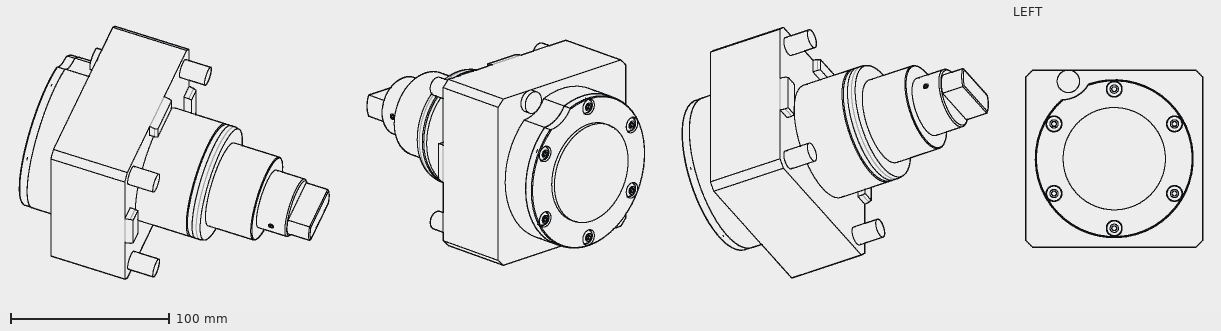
import cadquery as cq
import math

cover_face_x = 2.5
cover_joint_x = 8.0
pin_face_x = 22.6
block_front_x = 26.5
block_back_x = 76.7
pad_end_x = 81.9
bolt_end_x = 93.7
pilot_end_x = 120.2
body_end_x = 151.5
neck_end_x = 171.7
tang_end_x = 187.0

block_side = 112.0
block_chamfer = 4.5

cap_radius = 32.4
housing_ring_radius = 50.0
cover_step = 0.2
cover_chamfer = 0.5
scallop_radius = 20.0
scallop_y = 33.5
scallop_z = 57.2
pin_radius = 7.1
pin_y = 29.0
pin_z = block_side / 2 - pin_radius

screw_count = 6
screw_circle_radius = 44.0
screw_recess_radius = 5.0
screw_recess_depth = 2.8
screw_head_radius = 4.7
screw_top_radius = 2.6
screw_hex_across_flats = 3.0
screw_hex_depth = 1.5
screw_drill_point_depth = 1.0

bolt_radius = 6.0
bolt_offset = 45.0
pad_width = 25.2
pad_slope_drop = 1.1
pad_height = 9.4
pad_bevel_length = 1.9
pad_bevel_inset = 0.5

pilot_radius = 37.4
pilot_bevel_length = 2.5
pilot_bevel_inset = 0.5
body_radius = 27.5
body_chamfer = 0.5
neck_radius = 19.0
neck_chamfer = 1.0
tang_radius = 17.4
tang_thickness = 14.4
tang_chamfer = 0.7

groove_start_x = 111.0
groove_width = 4.0
groove_depth = 3.2
seal_section_radius = 1.7

cross_pin_x = 161.4
cross_pin_radius = 1.78
cross_pin_hole_radius = 0.85
cross_pin_hole_depth = 1.5


def x_cylinder(start_x, end_x, radius, y=0, z=0):
    """Cylinder along X centred on the given Y and Z."""
    axis = cq.Workplane("YZ", origin=(start_x, y, z))
    return axis.circle(radius).extrude(end_x - start_x)


def make_block():
    block = cq.Workplane("YZ", origin=(block_front_x, 0, 0)).rect(block_side, block_side)
    return block.extrude(block_back_x - block_front_x).edges("|X").chamfer(block_chamfer)


def make_button_head():
    """Domed screw head with a hexagon socket, centred on X with its top on the cover face."""
    base_x = cover_face_x + screw_recess_depth
    mid_angle = math.radians(45)
    dome_width = screw_head_radius - screw_top_radius
    dome_middle = (
        base_x - screw_recess_depth * math.sin(mid_angle),
        screw_top_radius + dome_width * math.cos(mid_angle),
    )
    head = (
        cq.Workplane("XY")
        .moveTo(base_x, 0)
        .lineTo(base_x, screw_head_radius)
        .threePointArc(dome_middle, (cover_face_x, screw_top_radius))
        .lineTo(cover_face_x, 0)
        .close()
        .revolve(360, (0, 0, 0), (1, 0, 0))
    )
    corner_diameter = screw_hex_across_flats / math.cos(math.pi / 6)
    socket = cq.Workplane("YZ", origin=(cover_face_x, 0, 0)).polygon(6, corner_diameter)
    socket_floor = cq.Vector(cover_face_x + screw_hex_depth, 0, 0)
    drill_point = cq.Solid.makeCone(
        screw_hex_across_flats / 2, 0, screw_drill_point_depth, socket_floor, cq.Vector(1, 0, 0)
    )
    return head.cut(socket.extrude(screw_hex_depth)).cut(drill_point)


def make_cover():
    ring = x_cylinder(cover_joint_x, block_front_x, housing_ring_radius)
    ring = ring.cut(x_cylinder(cover_joint_x, block_front_x, scallop_radius, scallop_y, scallop_z))
    plate = x_cylinder(cover_face_x, cover_joint_x, housing_ring_radius - cover_step)
    plate = plate.faces("<X").chamfer(cover_chamfer)
    plate_scallop_radius = scallop_radius + cover_step
    plate = plate.cut(x_cylinder(0, cover_joint_x, plate_scallop_radius, scallop_y, scallop_z))
    cover = ring.union(plate)
    head = make_button_head()
    for index in range(screw_count):
        angle = math.radians(90 + index * 360 / screw_count)
        y = screw_circle_radius * math.cos(angle)
        z = screw_circle_radius * math.sin(angle)
        recess_floor_x = cover_face_x + screw_recess_depth
        cover = cover.cut(x_cylinder(cover_face_x, recess_floor_x, screw_recess_radius, y, z))
        cover = cover.union(head.translate((0, y, z)))
    return cover.union(x_cylinder(0, cover_face_x, cap_radius))


def make_pad():
    """Locating pad on the +Z side, with bevelled ends and an outer face that slopes inward."""
    half_width = pad_width / 2
    bevel_x = pad_end_x - pad_bevel_length
    plan = (
        cq.Workplane("XY")
        .moveTo(block_back_x, -half_width)
        .lineTo(bevel_x, -half_width)
        .lineTo(pad_end_x, -half_width + pad_bevel_inset)
        .lineTo(pad_end_x, half_width - pad_bevel_inset)
        .lineTo(bevel_x, half_width)
        .lineTo(block_back_x, half_width)
        .close()
        .extrude(block_side / 2)
    )
    outer_z = block_side / 2
    inner_z = outer_z - pad_height
    profile = (
        cq.Workplane("XZ", origin=(0, half_width, 0))
        .moveTo(block_back_x, inner_z)
        .lineTo(pad_end_x, inner_z)
        .lineTo(pad_end_x, outer_z - pad_slope_drop)
        .lineTo(block_back_x, outer_z)
        .close()
        .extrude(pad_width)
    )
    return plan.intersect(profile)


def make_shank():
    pilot = (
        x_cylinder(block_back_x, pilot_end_x, pilot_radius)
        .faces(">X")
        .chamfer(pilot_bevel_length, pilot_bevel_inset)
    )
    body = x_cylinder(pilot_end_x, body_end_x, body_radius).faces(">X").chamfer(body_chamfer)
    neck = x_cylinder(body_end_x, neck_end_x, neck_radius).faces(">X").chamfer(neck_chamfer)
    return add_seal(pilot).union(body).union(add_cross_pin(neck)).union(make_tang())


def add_seal(pilot):
    groove_floor_radius = pilot_radius - groove_depth
    groove_end_x = groove_start_x + groove_width
    groove = x_cylinder(groove_start_x, groove_end_x, pilot_radius + groove_depth)
    groove = groove.cut(x_cylinder(groove_start_x, groove_end_x, groove_floor_radius))
    seal_ring_radius = pilot_radius - seal_section_radius
    seal_x = groove_start_x + groove_width / 2
    seal = cq.Workplane("XY", origin=(seal_x, seal_ring_radius, 0)).circle(seal_section_radius)
    seal = seal.revolve(360, (0, -seal_ring_radius, 0), (1, -seal_ring_radius, 0))
    return pilot.cut(groove).union(seal)


def add_cross_pin(neck):
    """Flat-ended pin through the neck along Y, with a small blind hole in each end."""
    middle = cq.Workplane("XZ", origin=(cross_pin_x, 0, 0))
    pin = middle.circle(cross_pin_radius).extrude(neck_radius, both=True)
    holes = middle.circle(cross_pin_hole_radius).extrude(neck_radius, both=True)
    core = middle.circle(cross_pin_radius).extrude(neck_radius - cross_pin_hole_depth, both=True)
    return neck.union(pin).cut(holes.cut(core))


def make_tang():
    """Round end milled to two flats facing up and down."""
    tang = x_cylinder(neck_end_x, tang_end_x, tang_radius)
    flats = cq.Workplane("XY").box(2 * tang_end_x, 2 * tang_radius, tang_thickness)
    return tang.intersect(flats).faces(">X").chamfer(tang_chamfer)


result = make_block().union(make_cover())
result = result.union(x_cylinder(pin_face_x, block_front_x, pin_radius, pin_y, pin_z))
for side_y in (-1, 1):
    for side_z in (-1, 1):
        bolt_y = side_y * bolt_offset
        bolt_z = side_z * bolt_offset
        bolt = x_cylinder(block_back_x, bolt_end_x, bolt_radius, bolt_y, bolt_z)
        result = result.union(bolt)
for turn in (-90, 0, 90):
    result = result.union(make_pad().rotate((0, 0, 0), (1, 0, 0), turn))
result = result.union(make_shank())